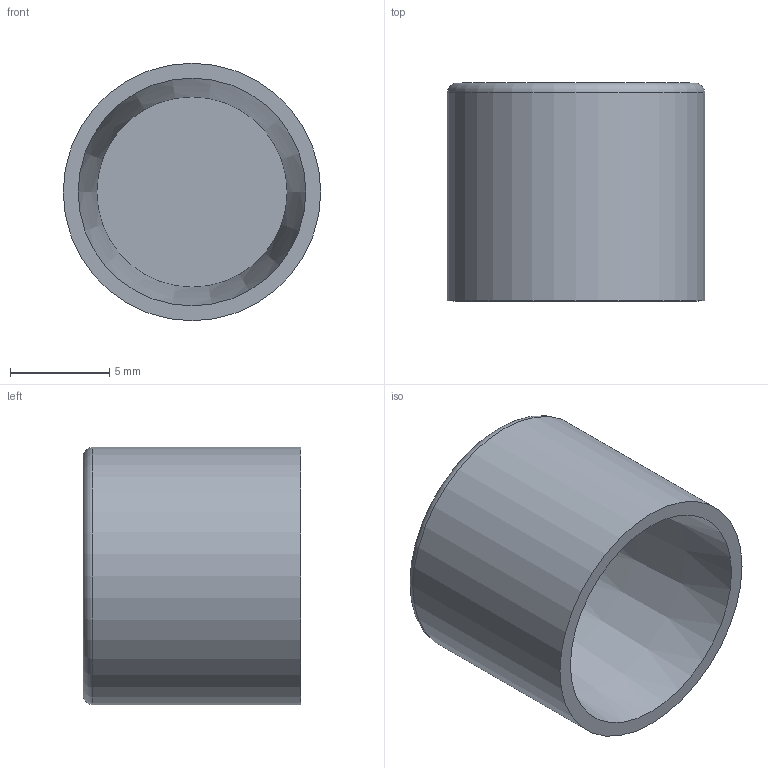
import cadquery as cq
import math

outer_diameter = 13.0
length = 11.0
mouth_diameter = 11.5
floor_thickness = 2.0
draft_angle = 6.0
end_fillet = 0.5

cavity_depth = length - floor_thickness
mouth_radius = mouth_diameter / 2
floor_radius = mouth_radius - cavity_depth * math.tan(math.radians(draft_angle))


def make_body():
    """Solid cylinder from the mouth at Y = 0, with its closed end rounded."""
    body = cq.Workplane("XZ").circle(outer_diameter / 2).extrude(-length)
    return body.faces(">Y").edges().fillet(end_fillet)


def make_cavity():
    """Tapered bore, narrowing from the mouth to the flat floor."""
    half_profile = (
        cq.Workplane("XY")
        .lineTo(mouth_radius, 0)
        .lineTo(floor_radius, cavity_depth)
        .lineTo(0, cavity_depth)
        .close()
    )
    return half_profile.revolve(360, (0, 0, 0), (0, 1, 0))


result = make_body().cut(make_cavity())